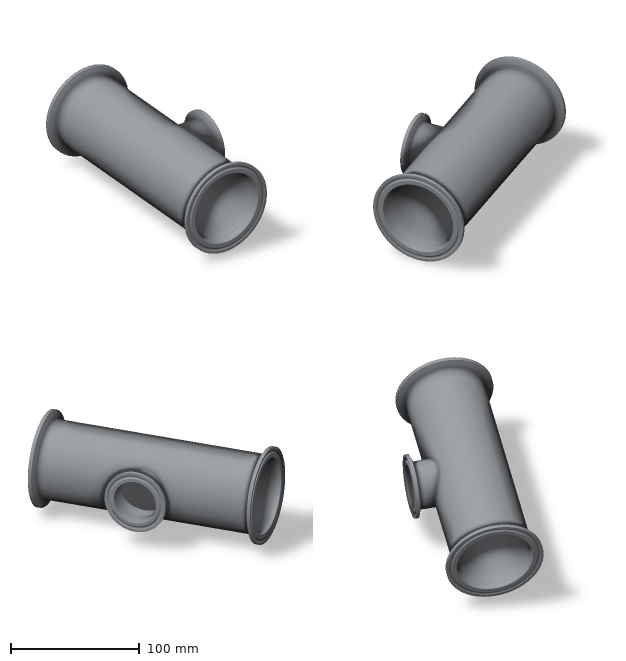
import cadquery as cq
import math

overall_length = 184.2
run_radius = 31.7
run_flange_radius = 38.7
branch_radius = 19.0
branch_flange_radius = 25.2
branch_face_offset = 47.5
wall = 1.7
saddle_fillet = 1.0

ferrule_length = 12.7
rim_thickness = 2.8
cone_angle = 20.0
run_neck_fillet = 2.0
branch_neck_fillet = 1.5
face_edge_fillet = 0.5

groove_inset = 3.5
groove_half_width = 1.2
groove_depth = 1.0


def make_ferrule(tube_radius, flange_radius, neck_fillet):
    """Ferrule about +X, with its clamp face at X = 0 and its weld end at X = ferrule_length."""
    bore_radius = tube_radius - wall
    slope = math.radians(cone_angle)
    corner_x = rim_thickness + (flange_radius - tube_radius) * math.tan(slope)
    tangent_length = neck_fillet * math.tan((math.pi / 2 - slope) / 2)
    cone_end_x = corner_x - tangent_length * math.sin(slope)
    cone_end_radius = tube_radius + tangent_length * math.cos(slope)
    neck_end_x = corner_x + tangent_length
    middle_angle = (math.pi / 2 + slope) / 2
    neck_middle_x = neck_end_x - neck_fillet * math.cos(middle_angle)
    neck_middle_radius = tube_radius + neck_fillet * (1 - math.sin(middle_angle))
    groove_radius = flange_radius - groove_inset

    body = (
        cq.Workplane("XY")
        .moveTo(0, bore_radius)
        .lineTo(0, groove_radius - groove_half_width)
        .threePointArc((groove_depth, groove_radius), (0, groove_radius + groove_half_width))
        .lineTo(0, flange_radius)
        .lineTo(rim_thickness, flange_radius)
        .lineTo(cone_end_x, cone_end_radius)
        .threePointArc((neck_middle_x, neck_middle_radius), (neck_end_x, tube_radius))
        .lineTo(ferrule_length, tube_radius)
        .lineTo(ferrule_length, bore_radius)
        .close()
        .revolve(360, (0, 0, 0), (1, 0, 0))
    )

    face_edges = body.edges("<X").vals()
    rounded_edges = [edge for edge in face_edges if edge.radius() < flange_radius - wall]
    return body.newObject(rounded_edges).fillet(face_edge_fillet)


def make_tee():
    """Run tube between its ferrules, with the filleted branch stub."""
    tube_length = overall_length - 2 * ferrule_length
    stub_length = branch_face_offset - ferrule_length

    def run_cylinder(radius):
        return cq.Workplane("YZ").circle(radius).extrude(tube_length / 2, both=True)

    def branch_cylinder(radius):
        return cq.Workplane("XZ").circle(radius).extrude(-stub_length)

    outside = run_cylinder(run_radius).union(branch_cylinder(branch_radius))
    saddle = outside.edges(cq.selectors.BoxSelector(
        (-branch_radius, run_radius / 2, -branch_radius),
        (branch_radius, run_radius, branch_radius),
    ))
    outside = outside.newObject(saddle.vals()).fillet(saddle_fillet)
    return outside.cut(run_cylinder(run_radius - wall)).cut(branch_cylinder(branch_radius - wall))


tee = make_tee()

run_ferrules = []
for turn in (0, 180):
    ferrule = make_ferrule(run_radius, run_flange_radius, run_neck_fillet)
    placed = ferrule.translate((-overall_length / 2, 0, 0)).rotate((0, 0, 0), (0, 0, 1), turn)
    run_ferrules.append(placed.val())

branch_ferrule = (
    make_ferrule(branch_radius, branch_flange_radius, branch_neck_fillet)
    .rotate((0, 0, 0), (0, 0, 1), -90)
    .translate((0, branch_face_offset, 0))
)

result = cq.Compound.makeCompound([tee.val(), *run_ferrules, branch_ferrule.val()])